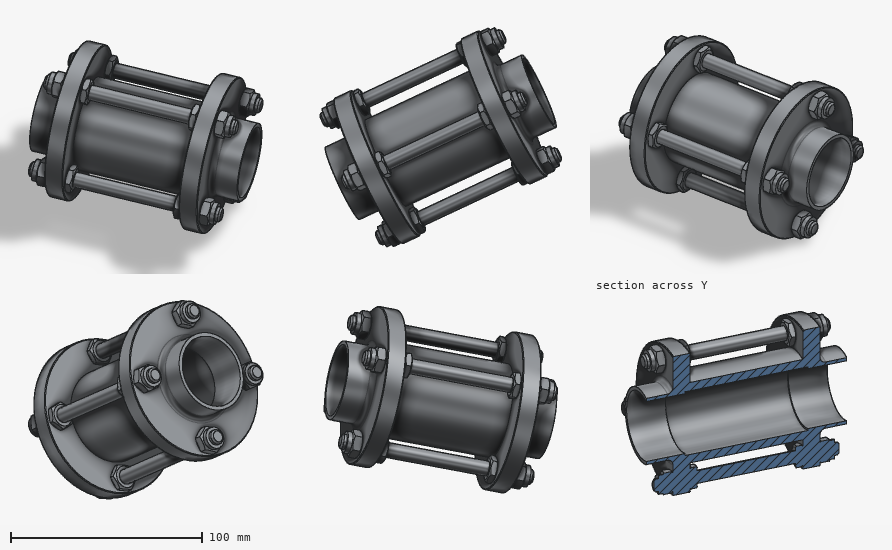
import cadquery as cq
import math

overall_length = 114.0

stub_diameter = 42.0
stub_bore = 38.0
stub_length = 15.0
flange_diameter = 84.0
flange_thickness = 10.0
flange_chamfer = 0.5
neck_fillet = 3.0

tube_diameter = 50.0
tube_bore = 40.0
tube_bore_depth_in_flange = 3.0

rod_count = 4
rod_diameter = 8.0
rod_circle_radius = 34.1
rod_start_angle = 13.0
rod_length = 105.3
rod_tip_chamfer = 1.0

across_flats = 13.0
lock_nut_hex_height = 5.6
lock_nut_collar_height = 2.5
lock_nut_collar_diameter = 11.6
jam_nut_height = 4.1
nut_face_diameter = 11.6
nut_chamfer_angle = 30.0
minus_x_lock_nut_turn = 20.8
minus_x_jam_nut_turn = 24.0
plus_x_nut_turn = 17.0

flange_outer_x = overall_length / 2 - stub_length
flange_inner_x = flange_outer_x - flange_thickness
tube_bore_length = 2 * (flange_inner_x + tube_bore_depth_in_flange)
hex_sides = 6
across_corners = across_flats / math.cos(math.pi / hex_sides)


def cylinder(diameter, start_x, length):
    """Solid cylinder on the X axis, growing toward +X."""
    return cq.Workplane("YZ").workplane(offset=start_x).circle(diameter / 2).extrude(length)


def flange_with_stub():
    """+X flange and pipe stub, joined by a filleted neck."""
    flange = cylinder(flange_diameter, flange_inner_x, flange_thickness)
    flange = flange.edges().chamfer(flange_chamfer)
    stub = cylinder(stub_diameter, flange_outer_x, stub_length)
    stub_rims = flange.union(stub).edges(cq.selectors.RadiusNthSelector(0))
    return stub_rims.edges("<X").fillet(neck_fillet)


def hex_prism(start_x, height, turn):
    """Hexagon on the X axis with its corners cut back by a cone at both ends."""
    hexagon = cq.Workplane("YZ").workplane(offset=start_x).polygon(hex_sides, across_corners).extrude(height)
    corner_cut = (across_corners - nut_face_diameter) / 2
    cut_depth = corner_cut * math.tan(math.radians(nut_chamfer_angle))
    envelope = cylinder(across_corners, start_x, height).edges().chamfer(cut_depth, corner_cut)
    return hexagon.intersect(envelope).rotate((0, 0, 0), (1, 0, 0), turn)


def nut_pair(lock_turn, jam_turn):
    """Lock nut outside and thin jam nut inside the +X flange."""
    collar = cylinder(
        lock_nut_collar_diameter, flange_outer_x + lock_nut_hex_height, lock_nut_collar_height
    )
    lock_nut = hex_prism(flange_outer_x, lock_nut_hex_height, lock_turn)
    jam_nut = hex_prism(flange_inner_x - jam_nut_height, jam_nut_height, jam_turn)
    return lock_nut.union(collar).union(jam_nut)


def tie_rod():
    """Rod on the X axis with its four nuts."""
    rod = cylinder(rod_diameter, -rod_length / 2, rod_length).edges().chamfer(rod_tip_chamfer)
    minus_x_nuts = nut_pair(minus_x_lock_nut_turn, minus_x_jam_nut_turn).mirror("YZ")
    plus_x_nuts = nut_pair(plus_x_nut_turn, plus_x_nut_turn)
    return rod.union(minus_x_nuts).union(plus_x_nuts)


flange_unit = flange_with_stub()
tube = cylinder(tube_diameter, -flange_inner_x, 2 * flange_inner_x)
body = tube.union(flange_unit).union(flange_unit.mirror("YZ"))

body = body.cut(cylinder(stub_bore, -overall_length / 2, overall_length))
body = body.cut(cylinder(tube_bore, -tube_bore_length / 2, tube_bore_length))

placed_rod = tie_rod().translate((0, rod_circle_radius, 0))
for index in range(rod_count):
    angle = rod_start_angle + index * 360 / rod_count
    body = body.union(placed_rod.rotate((0, 0, 0), (1, 0, 0), angle))

result = body